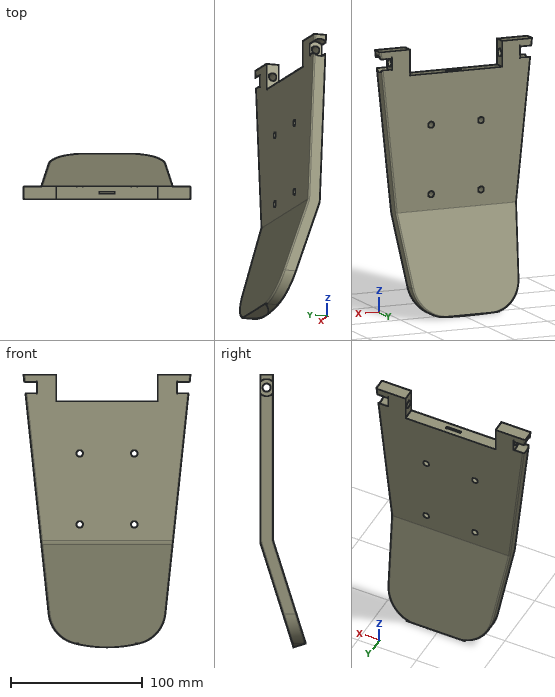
import cadquery as cq
import math

thickness = 10.0
height = 207.5
top_width = 127.1
side_taper = math.radians(6.0)
edge_radius = 1.0

bend_height = 81.5
flap_lean = math.radians(17.6)
trim_allowance = 12.5

corner_radius = 26.1
end_radius = 101.6

recess_width = 76.7
recess_depth = 20.1

pin_height = 197.5
pin_diameter = 6.0
bore_diameter = 13.0
bore_floor_spacing = 106.5

mount_diameter = 4.8
mount_spacing_x = 41.5
mount_spacing_z = 54.0
mount_center_z = 120.5

slit_length = 12.0
slit_width = 1.7
slit_depth = 10.0

half_thickness = thickness / 2
half_width = top_width / 2

flap_end_height = thickness * math.sin(flap_lean)
flap_reach = (bend_height - flap_end_height) * math.tan(flap_lean)


def bent_plate(extra_length=0.0):
    """Side section in YZ with a square flap end, extruded across X."""
    corner = (half_thickness, bend_height)
    tip_back = (
        half_thickness + flap_reach + extra_length * math.sin(flap_lean),
        flap_end_height - extra_length * math.cos(flap_lean),
    )

    def to_front(point, lean):
        """Point one plate thickness away, on the front face at the given lean."""
        return (point[0] - thickness * math.cos(lean), point[1] - thickness * math.sin(lean))

    bend_middle = to_front(corner, flap_lean / 2)
    return (
        cq.Workplane("YZ")
        .moveTo(half_thickness, height)
        .lineTo(*corner)
        .lineTo(*tip_back)
        .lineTo(*to_front(tip_back, flap_lean))
        .lineTo(*to_front(corner, flap_lean))
        .threePointArc(bend_middle, (-half_thickness, bend_height))
        .lineTo(-half_thickness, height)
        .close()
        .extrude(half_width, both=True)
    )


def corner_center():
    """Center of the corner arc tangent to the tapered side and to the end arc."""
    slope = math.tan(side_taper)
    offset_at_zero = half_width - height * slope - corner_radius / math.cos(side_taper)
    a = 1 + slope**2
    b = 2 * (offset_at_zero * slope - end_radius)
    c = offset_at_zero**2 + end_radius**2 - (end_radius - corner_radius) ** 2
    z = (-b - math.sqrt(b**2 - 4 * a * c)) / (2 * a)
    return offset_at_zero + slope * z, z


def blend_direction():
    """Angle from straight down at which the corner arc meets the end arc."""
    cx, cz = corner_center()
    return math.atan2(cx, end_radius - cz)


def outline_prism():
    """Tapered outline with a rounded lower end, extruded along Y."""
    cx, cz = corner_center()
    blend_angle = blend_direction()
    middle_angle = (blend_angle + math.pi / 2 - side_taper) / 2

    def on_corner(angle):
        return (cx + corner_radius * math.sin(angle), cz - corner_radius * math.cos(angle))

    def mirrored(point):
        return (-point[0], point[1])

    side_end = on_corner(math.pi / 2 - side_taper)
    middle = on_corner(middle_angle)
    blend = on_corner(blend_angle)
    return (
        cq.Workplane("XZ")
        .moveTo(half_width, height)
        .lineTo(*side_end)
        .threePointArc(middle, blend)
        .threePointArc((0, 0), mirrored(blend))
        .threePointArc(mirrored(middle), mirrored(side_end))
        .lineTo(-half_width, height)
        .close()
        .extrude(2 * height, both=True)
    )


def rounded_plate():
    """Plate with rounded edges along the sides and corners; the shallow end arc stays sharp."""
    outline = outline_prism()
    blend_height = end_radius * (1 - math.cos(blend_direction()))
    sharp = bent_plate().intersect(outline)
    rounded = (
        bent_plate(trim_allowance)
        .intersect(outline)
        .edges("not(|X or |Y)")
        .fillet(edge_radius)
        .intersect(bent_plate())
    )
    end_zone = cq.Workplane("XY").box(2 * top_width, 2 * height, 2 * blend_height)
    return rounded.cut(end_zone).union(sharp.intersect(end_zone))


def hinge_recess():
    """Gap between the hinge tabs."""
    return (
        cq.Workplane("XY", origin=(0, 0, height))
        .rect(recess_width, 2 * thickness)
        .extrude(-recess_depth)
    )


def hinge_bores():
    """Pin hole across both tabs and a wider bore from each side."""
    axis_plane = cq.Workplane("YZ", origin=(0, 0, pin_height))
    cutters = axis_plane.circle(pin_diameter / 2).extrude(top_width, both=True)
    for side in (-1, 1):
        floor_x = side * bore_floor_spacing / 2
        bore = (
            cq.Workplane("YZ", origin=(floor_x, 0, pin_height))
            .circle(bore_diameter / 2)
            .extrude(side * top_width)
        )
        cutters = cutters.union(bore)
    return cutters


def mounting_holes():
    """Two by two pattern of through holes along Y."""
    return (
        cq.Workplane("XZ", origin=(0, 0, mount_center_z))
        .rarray(mount_spacing_x, mount_spacing_z, 2, 2)
        .circle(mount_diameter / 2)
        .extrude(thickness, both=True)
    )


def recess_slit():
    """Narrow blind slit in the recess floor."""
    return (
        cq.Workplane("XY", origin=(0, 0, height - recess_depth))
        .rect(slit_length, slit_width)
        .extrude(-slit_depth)
    )


result = rounded_plate()
for cutter in (hinge_recess(), hinge_bores(), mounting_holes(), recess_slit()):
    result = result.cut(cutter)